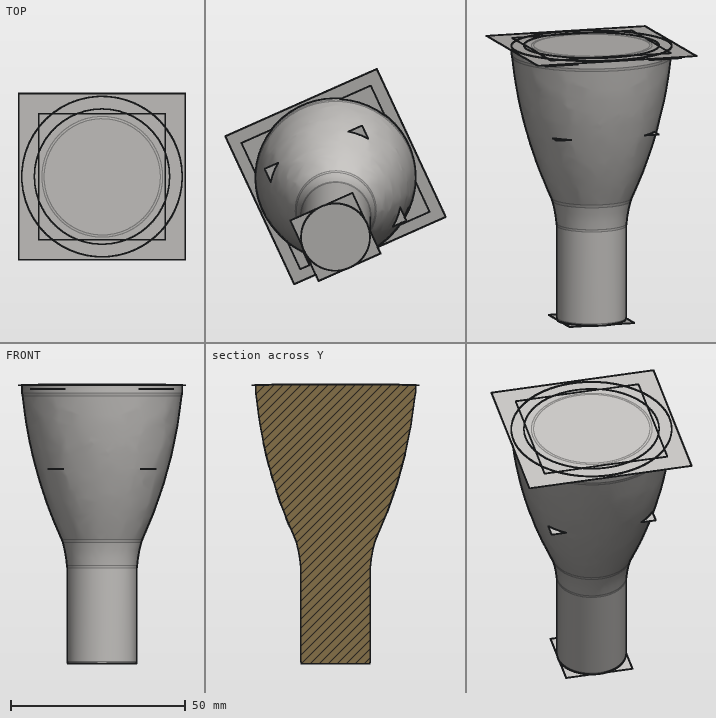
import cadquery as cq

height = 80.2
sheet_thickness = 0.1

tube_radius = 10.0
foot_radius = 9.9
foot_height = 0.7
tube_top = 27.6
neck_start_radius = 10.1
neck_start = 28.2
neck_mid_radius = 10.6
neck_mid = 31.8
neck_end_radius = 11.3
neck_end = 34.9
bell_start_radius = 11.6
bell_start = 35.8
bell_mid_radius = 18.9
bell_mid = 55.9
bell_end_radius = 22.85
bell_end = 76.9
rim_radius = 23.0
rim_start = 77.7

step_height = 0.1
rim_top = height - 2 * step_height
ring_top = rim_top + step_height
pad_top = ring_top + step_height / 2
ring_radius = 19.4
lens_radius = 17.3
lens_inner_radius = 16.7

top_sheet_side = 47.8
top_sheet_z = rim_top - step_height
cover_side = 36.2
cover_z = rim_top + step_height / 2
rim_sheet_side = 40.75
rim_sheet_z = 78.9
bell_sheet_side = 30.7
bell_sheet_z = 56.0
foot_sheet_side = 19.6
foot_sheet_z = 0.25


def make_body():
    """Tube, flared neck, bell and rim as one solid of revolution about Z."""
    return (
        cq.Workplane("XZ")
        .lineTo(foot_radius, 0)
        .lineTo(tube_radius, foot_height)
        .lineTo(tube_radius, tube_top)
        .lineTo(neck_start_radius, neck_start)
        .threePointArc((neck_mid_radius, neck_mid), (neck_end_radius, neck_end))
        .lineTo(bell_start_radius, bell_start)
        .threePointArc((bell_mid_radius, bell_mid), (bell_end_radius, bell_end))
        .lineTo(rim_radius, rim_start)
        .lineTo(rim_radius, rim_top)
        .lineTo(ring_radius, rim_top)
        .lineTo(ring_radius, ring_top)
        .lineTo(lens_radius, ring_top)
        .lineTo(lens_radius, pad_top)
        .lineTo(lens_inner_radius, height)
        .lineTo(0, height)
        .close()
        .revolve(360, (0, 0, 0), (0, 1, 0))
    )


def make_sheet(side, upper_z):
    """Thin square sheet centred on the axis."""
    lower_z = upper_z - sheet_thickness
    return cq.Workplane("XY").workplane(offset=lower_z).rect(side, side).extrude(sheet_thickness)


def make_pad():
    """Low pad on the ring: the cover square trimmed to the ring circle."""
    square = cq.Workplane("XY").workplane(offset=rim_top).rect(cover_side, cover_side)
    disc = cq.Workplane("XY").workplane(offset=rim_top).circle(ring_radius)
    pad_height = pad_top - rim_top
    return square.extrude(pad_height).intersect(disc.extrude(pad_height))


sheets = (
    (top_sheet_side, top_sheet_z),
    (cover_side, cover_z),
    (rim_sheet_side, rim_sheet_z),
    (bell_sheet_side, bell_sheet_z),
    (foot_sheet_side, foot_sheet_z),
)

result = make_body().union(make_pad())
for side, upper_z in sheets:
    result = result.union(make_sheet(side, upper_z))